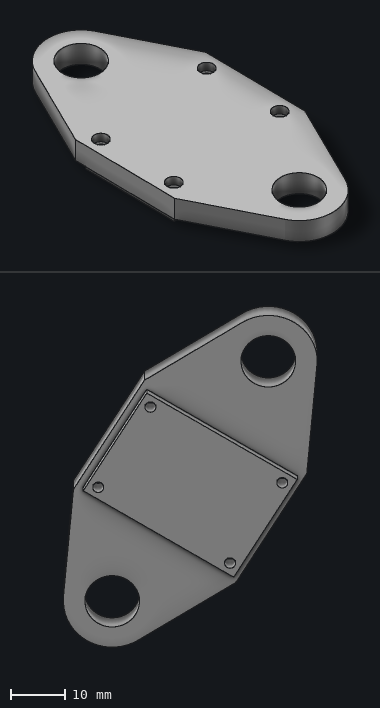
import cadquery as cq
import math

plate_thickness = 5.0
plate_width = 35.0
flat_length = 25.0
lug_spacing = 55.0
lug_radius = 9.0
lug_hole_diameter = 10.0

screw_spacing_x = 18.4
screw_spacing_y = 28.4
screw_diameter = 2.0
counterbore_diameter = 3.4
counterbore_depth = 2.0

pad_margin = 2.0
pad_thickness = 2.0
pad_length = screw_spacing_x + 2 * pad_margin
pad_width = screw_spacing_y + 2 * pad_margin

lug_x = lug_spacing / 2
corner_x = flat_length / 2
corner_y = plate_width / 2


def lug_tangent_point():
    """Point where the line from the (+X, +Y) flat corner touches the +X lug circle."""
    dx = corner_x - lug_x
    dy = corner_y
    angle = math.atan2(dy, dx) - math.acos(lug_radius / math.hypot(dx, dy))
    return lug_x + lug_radius * math.cos(angle), lug_radius * math.sin(angle)


def make_plate():
    """Plate with its underside at Z = 0, sloped sides tangent to the lugs."""
    tangent_x, tangent_y = lug_tangent_point()
    lug_tip_x = lug_x + lug_radius
    return (
        cq.Workplane("XY")
        .moveTo(-corner_x, corner_y)
        .lineTo(corner_x, corner_y)
        .lineTo(tangent_x, tangent_y)
        .threePointArc((lug_tip_x, 0), (tangent_x, -tangent_y))
        .lineTo(corner_x, -corner_y)
        .lineTo(-corner_x, -corner_y)
        .lineTo(-tangent_x, -tangent_y)
        .threePointArc((-lug_tip_x, 0), (-tangent_x, tangent_y))
        .close()
        .extrude(plate_thickness)
    )


def add_pad(body):
    """Pad hanging below the plate, centred on it."""
    pad = cq.Workplane("XY").rect(pad_length, pad_width).extrude(-pad_thickness)
    return body.union(pad)


def cut_lug_holes(body):
    """Through hole concentric with each lug."""
    return (
        body.faces(">Z").workplane(origin=(0, 0, 0))
        .pushPoints([(-lug_x, 0), (lug_x, 0)])
        .hole(lug_hole_diameter)
    )


def cut_screw_holes(body):
    """Through holes in a rectangle, counterbored from the top."""
    return (
        body.faces(">Z").workplane(origin=(0, 0, 0))
        .rarray(screw_spacing_x, screw_spacing_y, 2, 2)
        .cboreHole(screw_diameter, counterbore_diameter, counterbore_depth)
    )


body = add_pad(make_plate())
body = cut_lug_holes(body)
result = cut_screw_holes(body)